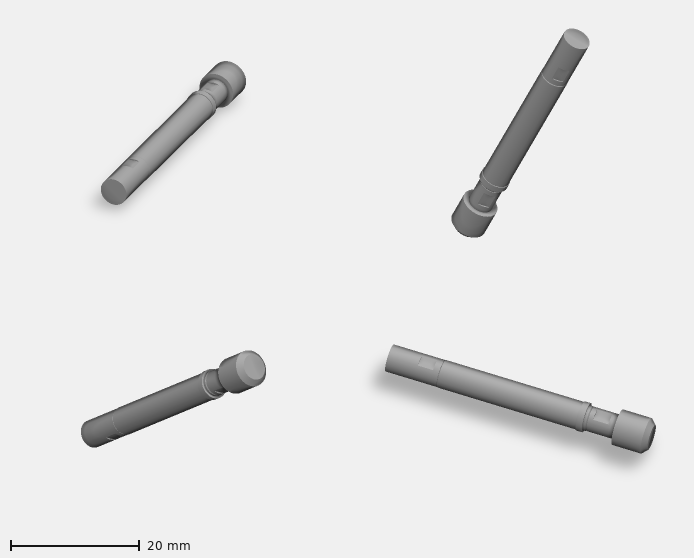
import cadquery as cq

LENGTH = 43.2

HEAD_RADIUS = 2.9
NECK_RADIUS = 2.0
COLLAR_RADIUS = 2.38
BARREL_RADIUS = 2.25
TAIL_RADIUS = 2.2
LIP_RADIUS = 2.05

HEAD_LENGTH = 5.6
HEAD_CHAMFER = 0.85
NECK_LENGTH = 4.45
LIP_LENGTH = 0.65
LIP_CHAMFER = 0.2
COLLAR_LENGTH = 1.0
TAIL_LENGTH = 8.45
BARREL_CHAMFER = 0.15

FLAT_LENGTH = 2.5
NECK_FLAT_HEIGHT = 1.73
TAIL_FLAT_HEIGHT = 2.0
NECK_FLAT_SETBACK = 1.15
TAIL_FLAT_SETBACK = 1.0

head_bottom = LENGTH - HEAD_LENGTH
neck_bottom = head_bottom - NECK_LENGTH
collar_top = neck_bottom - LIP_LENGTH
collar_bottom = collar_top - COLLAR_LENGTH


def turned_section(radius, start, end):
    """Solid cylinder on the Y axis between two Y positions."""
    return cq.Workplane("XZ", origin=(0, end, 0)).circle(radius).extrude(end - start)


def cut_flats(body, height, start):
    """Mill two opposite flats at Z = +/-height, starting at the given Y."""
    for side in (1, -1):
        cutter_center = side * (height + HEAD_RADIUS / 2)
        cutter = cq.Workplane("XY").box(2 * HEAD_RADIUS, FLAT_LENGTH, HEAD_RADIUS)
        body = body.cut(cutter.translate((0, start + FLAT_LENGTH / 2, cutter_center)))
    return body


head = turned_section(HEAD_RADIUS, head_bottom, LENGTH).faces(">Y").chamfer(HEAD_CHAMFER)

neck = turned_section(NECK_RADIUS, neck_bottom, head_bottom)
neck = cut_flats(neck, NECK_FLAT_HEIGHT, head_bottom - NECK_FLAT_SETBACK - FLAT_LENGTH)

lip = turned_section(LIP_RADIUS, collar_top, neck_bottom).faces(">Y").chamfer(LIP_CHAMFER)
collar = turned_section(COLLAR_RADIUS, collar_bottom, collar_top)

barrel = turned_section(BARREL_RADIUS, TAIL_LENGTH, collar_bottom).faces("<Y").chamfer(BARREL_CHAMFER)

tail = turned_section(TAIL_RADIUS, 0, TAIL_LENGTH)
tail = cut_flats(tail, TAIL_FLAT_HEIGHT, TAIL_LENGTH - TAIL_FLAT_SETBACK - FLAT_LENGTH)

result = head.union(neck).union(lip).union(collar).union(barrel).union(tail)